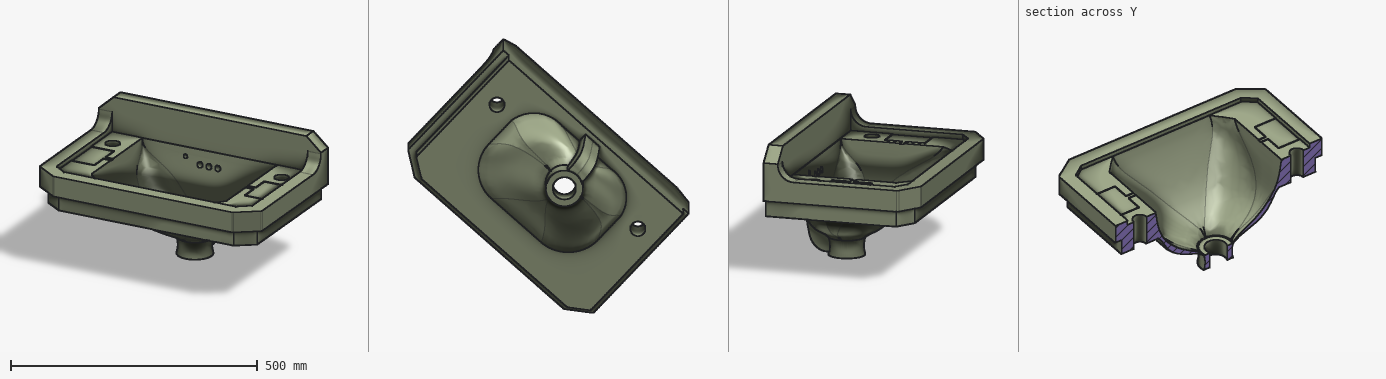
import cadquery as cq


total_height = 275.0
shoulder_z = 245.0
rim_z = 209.0
deck_z = 199.0
step_z = 165.0
slab_bottom_z = 129.5
neck_top_z = 37.5
drain_seat_z = 37.5

width = 510.0
depth = 320.0
rim_chamfer_x = 49.5
rim_chamfer_y = 34.0
rim_edge_radius = 5.0
step_inset = 15.5
lower_chamfer_x = 39.5
lower_chamfer_y = 27.0

rim_width = 30.5
shoulder_run = 33.5
cove_radius = 33.5
deck_chamfer_x = 27.0
deck_chamfer_y = 20.0
deck_half_width = width / 2 - rim_width

tap_x = 194.0
tap_depth = 85.5
tap_diameter = 30.5
soap_inner_x = 172.5
soap_back = 120.0
soap_front = 205.0
soap_sink = 1.5
groove_back = 157.0
groove_front = 166.0

opening_half_width = 154.5
opening_back = 31.5
opening_front = 288.5
opening_chamfer_x = 35.0
opening_chamfer_y = 38.0
drain_depth = 95.0
drain_diameter = 47.0
seat_radius = 35.0
neck_end_radius = 37.5
neck_waist_radius = 35.0
neck_waist_z = 20.5
neck_top_radius = 38.0

duct_width = 39.0
duct_wall_depth = 10.0
duct_end_depth = 65.5
duct_end_z = 8.0
overflow_z = 167.0
overflow_pitch = 20.5
overflow_diameter = 12.0
small_overflow_x = -54.5
small_overflow_z = 178.5
small_overflow_diameter = 8.5
overflow_start = 61.0
overflow_end = 18.0

ROUND = 2 ** 0.5 - 1
FLAT = 0.02


def chamfered_slab(half_width, back, front, chamfer_x, chamfer_y, bottom, top):
    """Plate with a square back and chamfered front corners."""
    outline = [
        (-half_width, -back),
        (-half_width, chamfer_y - front),
        (chamfer_x - half_width, -front),
        (half_width - chamfer_x, -front),
        (half_width, chamfer_y - front),
        (half_width, -back),
    ]
    return cq.Workplane("XY").workplane(offset=bottom).polyline(outline).close().extrude(top - bottom)


def block(x_min, x_max, back, front, bottom, top):
    """Box between two X positions, two depths and two heights."""
    size = (x_max - x_min, front - back, top - bottom)
    return cq.Workplane("XY").box(*size, centered=False).translate((x_min, -front, bottom))


def cylinder(x, depth_from_wall, diameter, bottom, top):
    """Upright cylinder."""
    base = cq.Workplane("XY", origin=(x, -depth_from_wall, bottom))
    return base.circle(diameter / 2).extrude(top - bottom)


def bowl_section(z, half_width, back, front, back_corner, front_corner, bulge=ROUND):
    """Closed wire with four sides and four bulged corners; each corner is an (X run, Y run) pair."""
    corners = [
        (-1, -back, -1, back_corner, False),
        (-1, -front, 1, front_corner, True),
        (1, -front, 1, front_corner, False),
        (1, -back, -1, back_corner, True),
    ]
    edges = []
    first = None
    previous = None
    for side, y, inward, (run_x, run_y), starts_on_side in corners:
        x = side * half_width
        on_end = cq.Vector(x - side * run_x, y, z)
        on_side = cq.Vector(x, y + inward * run_y, z)
        start, end = (on_side, on_end) if starts_on_side else (on_end, on_side)
        chord_middle = (start + end) * 0.5
        middle = chord_middle + (cq.Vector(x, y, z) - chord_middle) * bulge
        if previous is None:
            first = start
        else:
            edges.append(cq.Edge.makeLine(previous, start))
        edges.append(cq.Edge.makeThreePointArc(start, middle, end))
        previous = end
    edges.append(cq.Edge.makeLine(previous, first))
    return cq.Wire.assembleEdges(edges)


def round_section(z, radius):
    """Almost circular bowl section around the drain."""
    run = radius - 0.5
    corner = (run, run)
    return bowl_section(z, radius, drain_depth - radius, drain_depth + radius, corner, corner)


def loft(sections):
    return cq.Workplane(obj=cq.Solid.makeLoft(sections))


def make_slabs():
    """Rim slab with splashback and coved ends, standing on a smaller slab."""
    half = width / 2
    rim = chamfered_slab(half, 0, depth, rim_chamfer_x, rim_chamfer_y, step_z, rim_z)
    rim = rim.edges("|Z").edges("not >Y").fillet(rim_edge_radius)
    splashback_outline = [
        (-half, step_z),
        (-half, shoulder_z),
        (shoulder_run - half, total_height),
        (half - shoulder_run, total_height),
        (half, shoulder_z),
        (half, step_z),
    ]
    splashback = cq.Workplane("XZ").polyline(splashback_outline).close().extrude(rim_width)
    cove_profile = (
        cq.Workplane("YZ", origin=(-half, 0, 0))
        .moveTo(-rim_width, rim_z)
        .lineTo(-rim_width, rim_z + cove_radius)
        .radiusArc((-rim_width - cove_radius, rim_z), cove_radius)
        .close()
    )
    cove = cove_profile.extrude(rim_width)
    lower = chamfered_slab(
        half - step_inset, 0, depth - step_inset, lower_chamfer_x, lower_chamfer_y, slab_bottom_z, step_z
    )
    return rim.union(splashback).union(cove).union(cove.mirror("YZ")).union(lower)


def make_bowl_shell():
    """Rounded outside of the bowl below the slabs."""
    return loft([
        bowl_section(slab_bottom_z, 150.0, 29.0, 239.0, (81.5, 61), (81.5, 81.5)),
        bowl_section(100.0, 131.5, 30.0, 210.0, (81.5, 61), (81.5, 81.5)),
        bowl_section(61.0, 86.5, 38.0, 169.5, (71.5, 56), (71.5, 66.5)),
        bowl_section(48.0, 53.5, 47.5, 148.0, (51, 46), (51, 51)),
        round_section(neck_top_z, neck_top_radius),
    ])


def make_bowl_cavity():
    """Inside of the bowl, from the angular opening down to the round drain seat."""
    return loft([
        bowl_section(
            deck_z, opening_half_width, opening_back, opening_front,
            (1.5, 1.5), (opening_chamfer_x, opening_chamfer_y), FLAT,
        ),
        bowl_section(163.0, 149.0, 35.5, 257.5, (25.5, 20.5), (46, 51)),
        bowl_section(slab_bottom_z, 137.0, 40.0, 226.0, (61, 46), (66.5, 71.5)),
        bowl_section(100.0, 117.5, 42.5, 196.5, (66.5, 51), (71.5, 71.5)),
        bowl_section(69.0, 79.0, 49.0, 160.5, (61, 46), (61, 56)),
        round_section(drain_seat_z, seat_radius),
    ])


def make_neck():
    """Waisted outlet neck."""
    profile = (
        cq.Workplane("XZ")
        .lineTo(neck_end_radius, 0)
        .threePointArc((neck_waist_radius, neck_waist_z), (neck_top_radius, neck_top_z))
        .lineTo(0, neck_top_z)
        .close()
    )
    return profile.revolve(360, (0, 0), (0, 1)).translate((0, -drain_depth, 0))


def make_overflow_duct():
    """Rib down the back of the bowl, curving into the neck."""
    profile = (
        cq.Workplane("YZ")
        .moveTo(-duct_wall_depth, slab_bottom_z)
        .spline(
            [(-14.0, 91.5), (-19.0, 51.0), (-28.0, 24.5), (-44.5, 10.0), (-duct_end_depth, duct_end_z)],
            includeCurrent=True,
        )
        .lineTo(-duct_end_depth, slab_bottom_z)
        .close()
    )
    return profile.extrude(duct_width / 2, both=True)


def overflow_hole(x, z, diameter):
    hole = cq.Workplane("XZ", origin=(x, -overflow_end, z))
    return hole.circle(diameter / 2).extrude(overflow_start - overflow_end)


def soap_recess():
    """Shallow soap recess on the +X side with its groove to the bowl."""
    floor = deck_z - soap_sink
    tray = block(soap_inner_x, deck_half_width, soap_back, soap_front, floor, deck_z)
    groove = block(opening_half_width - 5, soap_inner_x, groove_back, groove_front, floor, deck_z)
    return tray.union(groove)


basin = make_slabs().union(make_bowl_shell()).union(make_neck()).union(make_overflow_duct())

basin = basin.cut(chamfered_slab(
    deck_half_width, rim_width, depth - rim_width, deck_chamfer_x, deck_chamfer_y, deck_z, total_height
))

basin = basin.cut(make_bowl_cavity())
basin = basin.cut(cylinder(0, drain_depth, drain_diameter, 0, rim_z))

for side in (-1, 1):
    basin = basin.cut(cylinder(side * tap_x, tap_depth, tap_diameter, slab_bottom_z, rim_z))
basin = basin.cut(soap_recess()).cut(soap_recess().mirror("YZ"))

for position in (-1, 0, 1):
    basin = basin.cut(overflow_hole(position * overflow_pitch, overflow_z, overflow_diameter))
basin = basin.cut(overflow_hole(small_overflow_x, small_overflow_z, small_overflow_diameter))

result = basin